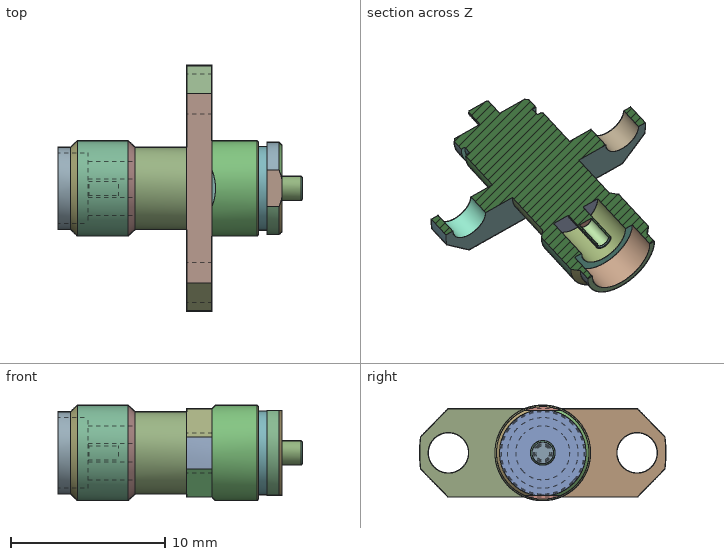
import cadquery as cq
import math

MOUTH_RIM_END = 0.82
FRONT_COLLAR_START = 1.27
FRONT_COLLAR_END = 4.54
FRONT_COLLAR_TAPER_END = 5.01
FLANGE_FRONT = 8.33
FLANGE_THICKNESS = 1.65
FLANGE_BACK = FLANGE_FRONT + FLANGE_THICKNESS
REAR_SLEEVE_END = 13.0
NUT_START = 13.53
NUT_END = 14.53
TOTAL_LENGTH = 15.85

BARREL_RADIUS = 2.67
COLLAR_RADIUS = 3.1
GROOVE_RADIUS = 2.72
NUT_RADIUS = 3.0
PIN_RADIUS = 0.8
SMALL_CHAMFER = 0.1
NUT_CHAMFER = 0.2

NUT_HALF_WIDTH = 2.76

FLANGE_HALF_HEIGHT = 2.87
FLANGE_END_RADIUS = 7.99
FLANGE_FLAT_HALF_LENGTH = 6.13
FLANGE_END_HALF_HEIGHT = 1.035
MOUNT_HOLE_OFFSET = 6.11
MOUNT_HOLE_DIAMETER = 2.6

MOUTH_BORE_RADIUS = 2.29
MOUTH_BORE_DEPTH = 1.94
INNER_BORE_RADIUS = 1.75
INNER_BORE_DEPTH = FRONT_COLLAR_TAPER_END
CONTACT_RADIUS = 0.6
CONTACT_TIP = MOUTH_BORE_DEPTH
CONTACT_SINK_RADIUS = 0.53
CONTACT_HOLE_RADIUS = 0.45
CONTACT_HOLE_DEPTH = 2.0


def revolve_about_x(points):
    """Turn a closed (x, radius) outline about the connector axis."""
    return cq.Workplane("XY").polyline(points).close().revolve(360, (0, 0, 0), (1, 0, 0))


def cylinder_along_x(start, end, radius):
    return cq.Workplane("YZ", origin=(start, 0, 0)).circle(radius).extrude(end - start)


def make_front_body():
    return revolve_about_x([
        (0, 0),
        (0, BARREL_RADIUS),
        (MOUTH_RIM_END, BARREL_RADIUS),
        (FRONT_COLLAR_START, COLLAR_RADIUS),
        (FRONT_COLLAR_END, COLLAR_RADIUS),
        (FRONT_COLLAR_TAPER_END, BARREL_RADIUS),
        (FLANGE_BACK, BARREL_RADIUS),
        (FLANGE_BACK, 0),
    ])


def make_flange():
    flat_y, flat_z = FLANGE_FLAT_HALF_LENGTH, FLANGE_HALF_HEIGHT
    end_z = FLANGE_END_HALF_HEIGHT
    end_y = math.sqrt(FLANGE_END_RADIUS**2 - end_z**2)
    outline = (
        cq.Workplane("YZ", origin=(FLANGE_FRONT, 0, 0))
        .moveTo(-flat_y, flat_z)
        .lineTo(flat_y, flat_z)
        .lineTo(end_y, end_z)
        .threePointArc((FLANGE_END_RADIUS, 0), (end_y, -end_z))
        .lineTo(flat_y, -flat_z)
        .lineTo(-flat_y, -flat_z)
        .lineTo(-end_y, -end_z)
        .threePointArc((-FLANGE_END_RADIUS, 0), (-end_y, end_z))
        .close()
    )
    plate = outline.extrude(FLANGE_THICKNESS)
    hole_centres = [(-MOUNT_HOLE_OFFSET, 0), (MOUNT_HOLE_OFFSET, 0)]
    return (
        plate.faces("<X").workplane(origin=(0, 0, 0))
        .pushPoints(hole_centres)
        .hole(MOUNT_HOLE_DIAMETER)
    )


def make_rear_sleeve():
    """Sleeve behind the flange, bevelled at 45 degrees down to both long flange edges."""
    sleeve = cylinder_along_x(FLANGE_BACK, REAR_SLEEVE_END, COLLAR_RADIUS)
    sleeve = sleeve.faces(">X").edges().chamfer(SMALL_CHAMFER)
    bevel = COLLAR_RADIUS - FLANGE_HALF_HEIGHT
    for side in (1, -1):
        wedge = (
            cq.Workplane("XZ")
            .moveTo(FLANGE_BACK, side * FLANGE_HALF_HEIGHT)
            .lineTo(FLANGE_BACK + bevel, side * COLLAR_RADIUS)
            .lineTo(FLANGE_BACK, side * COLLAR_RADIUS)
            .close()
            .extrude(COLLAR_RADIUS, both=True)
        )
        sleeve = sleeve.cut(wedge)
    return sleeve


def make_nut():
    nut = cylinder_along_x(NUT_START, NUT_END, NUT_RADIUS)
    nut = nut.faces(">X").edges().chamfer(NUT_CHAMFER)
    across_flats = cq.Workplane("XY").box(2 * TOTAL_LENGTH, 2 * NUT_RADIUS, 2 * NUT_HALF_WIDTH)
    return nut.intersect(across_flats)


def make_rear_pin():
    pin = cylinder_along_x(NUT_END, TOTAL_LENGTH, PIN_RADIUS)
    return pin.faces(">X").edges().chamfer(SMALL_CHAMFER)


def make_socket_cavity():
    """Stepped bore at the mouth, leaving the hollow centre contact standing inside it."""
    sink_depth = CONTACT_SINK_RADIUS - CONTACT_HOLE_RADIUS
    hole_end = CONTACT_TIP + CONTACT_HOLE_DEPTH
    contact = revolve_about_x([
        (CONTACT_TIP, CONTACT_SINK_RADIUS),
        (CONTACT_TIP, CONTACT_RADIUS),
        (INNER_BORE_DEPTH, CONTACT_RADIUS),
        (INNER_BORE_DEPTH, 0),
        (hole_end, 0),
        (hole_end, CONTACT_HOLE_RADIUS),
        (CONTACT_TIP + sink_depth, CONTACT_HOLE_RADIUS),
    ])
    mouth = cylinder_along_x(0, MOUTH_BORE_DEPTH, MOUTH_BORE_RADIUS)
    inner = cylinder_along_x(0, INNER_BORE_DEPTH, INNER_BORE_RADIUS)
    return mouth.union(inner).cut(contact)


groove = cylinder_along_x(REAR_SLEEVE_END, NUT_START, GROOVE_RADIUS)

result = (
    make_front_body()
    .union(make_flange())
    .union(make_rear_sleeve())
    .union(groove)
    .union(make_nut())
    .union(make_rear_pin())
    .cut(make_socket_cavity())
)